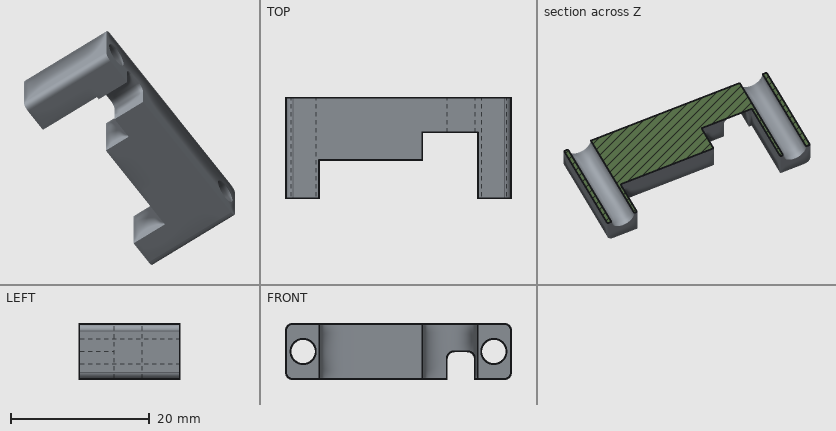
import cadquery as cq

length = 32.5
depth = 14.5
height = 8.0
corner_radius = 1.0

arm_width = 4.8
thick_bridge_depth = 9.0
thin_bridge_depth = 5.0
thin_bridge_length = 8.0

bore_diameter = 3.6
bore_inset = 2.5

channel_width = 4.0
channel_height = height / 2
channel_arm_gap = 0.45

right_arm_x = length - arm_width
step_x = right_arm_x - thin_bridge_length
thick_bridge_y = depth - thick_bridge_depth
thin_bridge_y = depth - thin_bridge_depth


def make_body():
    """Stepped U-shaped body with rounded outer end edges."""
    block = (
        cq.Workplane("XY")
        .box(length, depth, height, centered=False)
        .edges("|Y")
        .fillet(corner_radius)
    )
    opening = (
        cq.Workplane("XY")
        .moveTo(arm_width, 0)
        .lineTo(right_arm_x, 0)
        .lineTo(right_arm_x, thin_bridge_y)
        .lineTo(step_x, thin_bridge_y)
        .lineTo(step_x, thick_bridge_y)
        .lineTo(arm_width, thick_bridge_y)
        .close()
        .extrude(height)
    )
    return block.cut(opening)


def make_bores():
    """Through bores at mid height, one in each arm."""
    return (
        cq.Workplane("XZ")
        .pushPoints([(x, height / 2) for x in (bore_inset, length - bore_inset)])
        .circle(bore_diameter / 2)
        .extrude(-depth)
    )


def make_channel():
    """Channel open at the bottom, through the thin bridge from front to back."""
    channel_x = right_arm_x - channel_arm_gap - channel_width
    return (
        cq.Workplane("XY")
        .box(channel_width, thin_bridge_depth, channel_height, centered=False)
        .edges("|Y and >Z")
        .fillet(corner_radius)
        .translate((channel_x, thin_bridge_y, 0))
    )


result = make_body().cut(make_bores()).cut(make_channel())